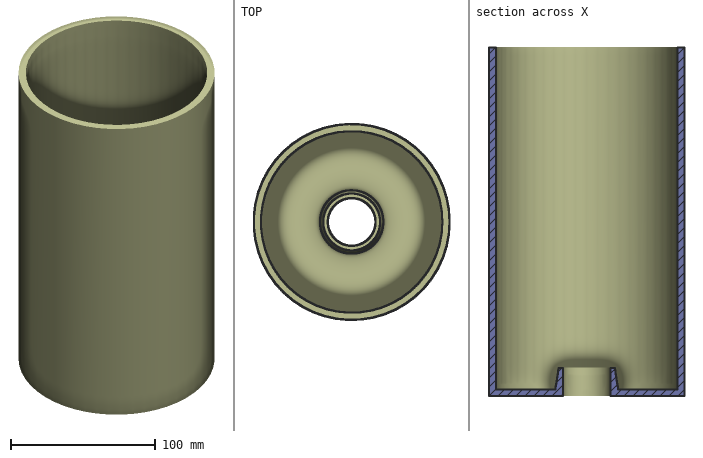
import cadquery as cq

height = 242.0
outer_diameter = 136.0
wall = 5.0
floor_thickness = wall

spigot_base_diameter = 44.0
spigot_top_diameter = 39.5
spigot_height = 15.0
hole_diameter = 33.0


def cup():
    cavity_diameter = outer_diameter - 2 * wall
    body = cq.Workplane("XY").circle(outer_diameter / 2).extrude(height)
    cavity = (
        cq.Workplane("XY", origin=(0, 0, floor_thickness))
        .circle(cavity_diameter / 2)
        .extrude(height - floor_thickness)
    )
    return body.cut(cavity)


def tapered_spigot():
    return (
        cq.Workplane("XY", origin=(0, 0, floor_thickness))
        .circle(spigot_base_diameter / 2)
        .workplane(offset=spigot_height)
        .circle(spigot_top_diameter / 2)
        .loft(ruled=True)
    )


def through_hole():
    return cq.Workplane("XY").circle(hole_diameter / 2).extrude(floor_thickness + spigot_height)


result = cup().union(tapered_spigot()).cut(through_hole())